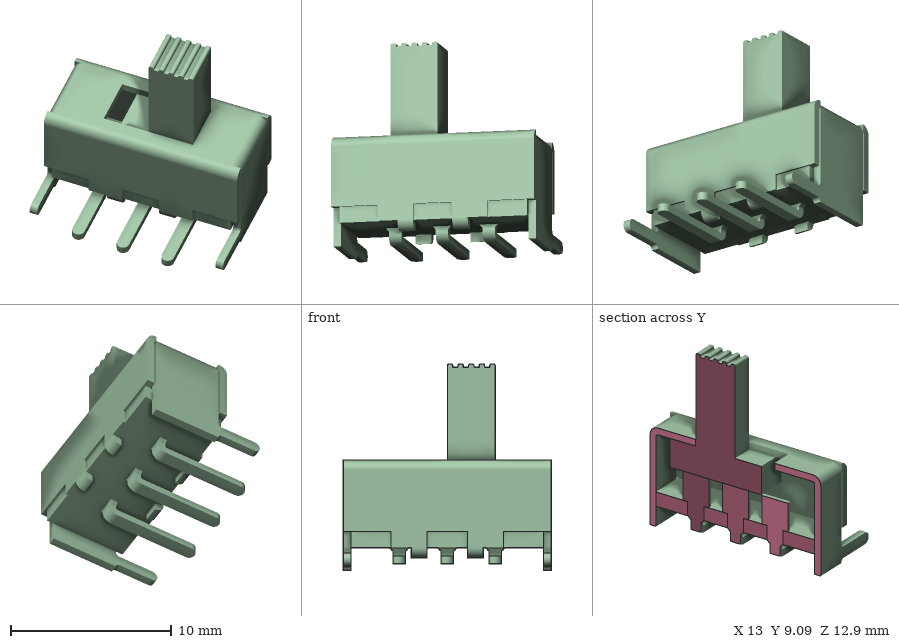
import cadquery as cq
import math


sheet = 0.5
bend_inner = 0.125
bend_outer = bend_inner + sheet

frame_length = 13.0
frame_width = 5.78
half_length = frame_length / 2
half_width = frame_width / 2
end_wall_half = half_width - bend_outer
side_wall_inner = half_width - sheet
end_wall_bottom = -6.9
slot_length = 6.0
slot_width = 3.1

base_top = -4.48
base_bottom = -5.5
tab_inner_x = 1.25
tab_outer_x = 3.5
crimp_width = 1.0

leg_tip_y = -5.28
leg_height = 0.8
leg_center_z = -6.23
upper_root_radius = 0.25

base_length = frame_length - 2 * sheet
tongue_recess = 0.15
tongue_half_width = half_width - tongue_recess

terminal_pitch = 3.0
terminal_xs = [-terminal_pitch, 0, terminal_pitch]
terminal_tip_y = -6.2
terminal_width = 0.8
terminal_leg_bottom = -6.5
terminal_stem_width = 1.2
terminal_taper = 0.2
blade_width = 2.0
blade_top = -2.5

knob_length = 3.0
knob_width = 3.0
knob_top = 6.0
knob_center_x = (slot_length - knob_length) / 2
slider_length = 7.0
slider_width = 4.4
ridge_count = 5
ridge_width = 0.35
ridge_height = 0.2
ridge_fillet = 0.125


def box(x_min, x_max, y_min, y_max, z_min, z_max):
    size = (x_max - x_min, y_max - y_min, z_max - z_min)
    return cq.Workplane("XY").box(*size, centered=False).translate((x_min, y_min, z_min))


def quarter_bend(plane, center, start_angle, length):
    """Quarter ring of bent sheet, swept for the given length along the plane's normal."""
    def point(radius, degrees):
        angle = math.radians(degrees)
        return (center[0] + radius * math.cos(angle), center[1] + radius * math.sin(angle))

    middle = start_angle + 45
    end = start_angle + 90
    return (
        cq.Workplane(plane)
        .moveTo(*point(bend_inner, start_angle))
        .lineTo(*point(bend_outer, start_angle))
        .threePointArc(point(bend_outer, middle), point(bend_outer, end))
        .lineTo(*point(bend_inner, end))
        .threePointArc(point(bend_inner, middle), point(bend_inner, start_angle))
        .close()
        .extrude(length / 2, both=True)
    )


def make_frame_leg():
    """Leg of the +X end wall: reaches toward -Y, with a round tip and filleted roots."""
    half_height = leg_height / 2
    leg_top = leg_center_z + half_height
    leg_bottom = leg_center_z - half_height
    round_center_y = leg_tip_y + half_height
    root_y = -end_wall_half
    lower_root_radius = leg_bottom - end_wall_bottom
    upper_offset = upper_root_radius * (1 - math.sqrt(0.5))
    lower_offset = lower_root_radius * (1 - math.sqrt(0.5))
    return (
        cq.Workplane("YZ", origin=(half_length - sheet, 0, 0))
        .moveTo(root_y, end_wall_bottom)
        .threePointArc(
            (root_y - lower_offset, leg_bottom - lower_offset),
            (root_y - lower_root_radius, leg_bottom),
        )
        .lineTo(round_center_y, leg_bottom)
        .threePointArc((leg_tip_y, leg_center_z), (round_center_y, leg_top))
        .lineTo(root_y - upper_root_radius, leg_top)
        .threePointArc(
            (root_y - upper_offset, leg_top + upper_offset),
            (root_y, leg_top + upper_root_radius),
        )
        .close()
        .extrude(sheet)
    )


def make_frame_end():
    """The +X end: top bend, end wall and leg."""
    bend_center = (half_length - bend_outer, -bend_outer)
    bend = quarter_bend("XZ", bend_center, 0, 2 * end_wall_half)
    wall = box(
        half_length - sheet, half_length,
        -end_wall_half, end_wall_half,
        end_wall_bottom, -bend_outer,
    )
    return bend.union(wall).union(make_frame_leg())


def make_frame_side():
    """The +Y side: top bend, side wall, two tabs and the crimps bent in under the base."""
    side = quarter_bend("YZ", (end_wall_half, -bend_outer), 0, frame_length)
    side = side.union(box(
        -half_length, half_length, side_wall_inner, half_width, base_top, -bend_outer
    ))
    crimp = quarter_bend("YZ", (end_wall_half, base_bottom), -90, crimp_width)
    crimp_center_x = tab_inner_x + crimp_width / 2
    for direction in (-1, 1):
        tab_xs = sorted((direction * tab_inner_x, direction * tab_outer_x))
        side = side.union(box(*tab_xs, side_wall_inner, half_width, base_bottom, base_top))
        side = side.union(crimp.translate((direction * crimp_center_x, 0, 0)))
    return side


def make_frame():
    plate_half_length = half_length - bend_outer
    frame = box(
        -plate_half_length, plate_half_length, -end_wall_half, end_wall_half, -sheet, 0
    )
    end = make_frame_end()
    side = make_frame_side()
    frame = frame.union(end).union(end.mirror("YZ"))
    frame = frame.union(side).union(side.mirror("XZ"))
    slot = box(
        -slot_length / 2, slot_length / 2, -slot_width / 2, slot_width / 2, -sheet, 0
    )
    return frame.cut(slot)


def make_terminal(x):
    """Upright blade and stem, bent toward -Y into a leg with a round tip."""
    half_sheet = sheet / 2
    half_leg = terminal_width / 2
    half_stem = terminal_stem_width / 2
    half_blade = blade_width / 2
    bend_center = (-half_sheet - bend_inner, terminal_leg_bottom + bend_outer)
    taper_bottom = base_bottom - terminal_taper

    right_side = [
        (half_leg, bend_center[1]),
        (half_leg, taper_bottom),
        (half_stem, base_bottom),
        (half_stem, base_top),
        (half_blade, base_top),
        (half_blade, blade_top),
    ]
    left_side = [(-px, pz) for px, pz in reversed(right_side)]
    upright = cq.Workplane("XZ").polyline(right_side + left_side).close()
    upright = upright.extrude(half_sheet, both=True)

    bend = quarter_bend("YZ", bend_center, -90, terminal_width)

    round_center_y = terminal_tip_y + half_leg
    leg = (
        cq.Workplane("XY", origin=(0, 0, terminal_leg_bottom))
        .moveTo(half_leg, bend_center[0])
        .lineTo(half_leg, round_center_y)
        .threePointArc((0, terminal_tip_y), (-half_leg, round_center_y))
        .lineTo(-half_leg, bend_center[0])
        .close()
        .extrude(sheet)
    )
    return upright.union(bend).union(leg).translate((x, 0, 0))


def make_base():
    """Plate between the frame walls, with tongues in the gaps between the side tabs."""
    half_base = base_length / 2
    base = box(
        -half_base, half_base, -tongue_half_width, tongue_half_width, base_bottom, base_top
    )
    for direction in (-1, 1):
        tab_xs = sorted((direction * tab_inner_x, direction * tab_outer_x))
        base = base.cut(box(*tab_xs, side_wall_inner, half_width, base_bottom, base_top))
        base = base.cut(box(*tab_xs, -half_width, -side_wall_inner, base_bottom, base_top))
    for x in terminal_xs:
        half_stem = terminal_stem_width / 2
        base = base.cut(box(
            x - half_stem, x + half_stem, -sheet / 2, sheet / 2, base_bottom, base_top
        ))
    return base


def make_slider():
    """Block under the frame with a knob through the slot; the knob has ridges on top."""
    valley_z = knob_top - ridge_height
    block = cq.Workplane("XY").workplane(offset=blade_top)
    block = block.rect(slider_length, slider_width).extrude(-sheet - blade_top)
    knob = cq.Workplane("XY").workplane(offset=-sheet)
    knob = knob.rect(knob_length, knob_width).extrude(valley_z + sheet)
    slider = block.union(knob)

    ridge_pitch = (knob_length - ridge_width) / (ridge_count - 1)
    ridge = cq.Workplane("XY").workplane(offset=valley_z)
    ridge = ridge.rect(ridge_width, knob_width).extrude(ridge_height)
    ridge = ridge.faces(">Z").edges("|Y").fillet(ridge_fillet)
    first_ridge_x = (ridge_width - knob_length) / 2
    for index in range(ridge_count):
        slider = slider.union(ridge.translate((first_ridge_x + index * ridge_pitch, 0, 0)))
    return slider.translate((knob_center_x, 0, 0))


frame = make_frame()
base = make_base()
slider = make_slider()
terminals = [make_terminal(x) for x in terminal_xs]

result = cq.Compound.makeCompound(
    [frame.val(), base.val(), slider.val()] + [terminal.val() for terminal in terminals]
)